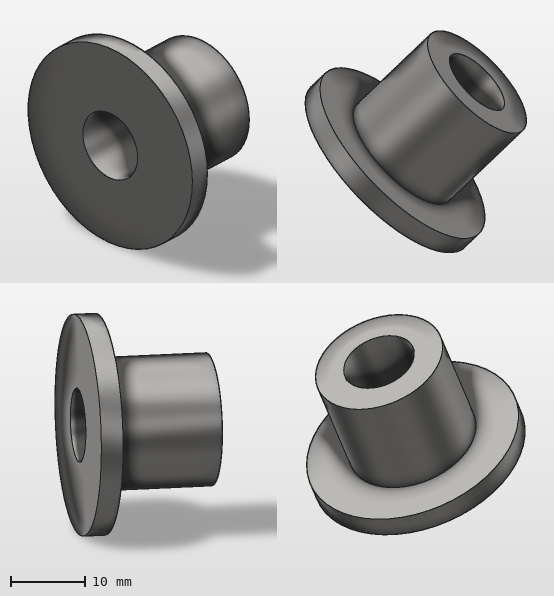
import cadquery as cq

flange_diameter = 30
flange_thickness = 3
sleeve_diameter = 18
bore_diameter = 10.0
total_length = 18


def cylinder_along_y(diameter, length):
    """Cylinder centred on the Y axis, from Y = 0 to Y = length."""
    return cq.Workplane("XZ").circle(diameter / 2).extrude(-length)


flange = cylinder_along_y(flange_diameter, flange_thickness)
sleeve = cylinder_along_y(sleeve_diameter, total_length)
bore = cylinder_along_y(bore_diameter, total_length)

result = flange.union(sleeve).cut(bore)